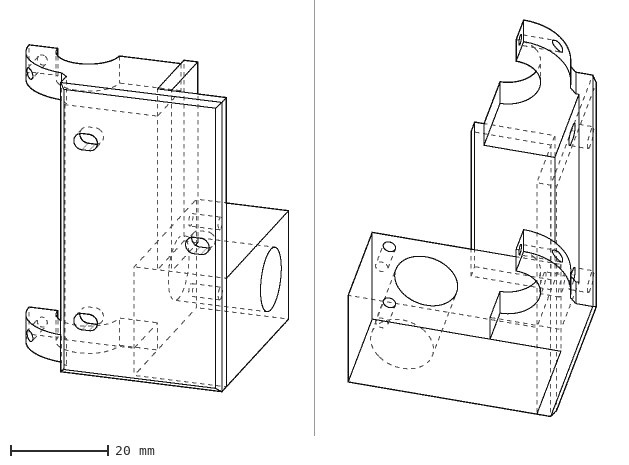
import cadquery as cq
import math

height = 64.0
clearance = 0.65

plate_width = 35.0
plate_thickness = 4.0
plate_chamfer = 1.0

arm_height = 6.0
cradle_y = 19.0
cradle_radius = 13.4 / 2
arm_radius = 12.9
arm_corner = 1.55
screw_diameter = 2.2
screw_x = -10.05

slot_length = 5.1
slot_height = 3.6
slot_left_x = 5.75
slot_right_x = 30.0
slot_rise = 19.9

block_width = 20.0
block_depth_end = 44.0
block_height = 24.0
bore_diameter = 13.4
bore_y = 32.6
bore_z = 13.05
pilot_diameter = 2.6
pilot_depth = 6.4
pilot_y = 40.4
pilot_spacing = 15.5

rib_thickness = 3.0
rib_depth_end = 21.0
rib_x = plate_width - 15.0

block_x = plate_width - block_width


def box(x0, x1, y0, y1, z0, z1):
    """Box between two opposite corners."""
    return cq.Workplane("XY").box(x1 - x0, y1 - y0, z1 - z0, centered=False).translate((x0, y0, z0))


def make_arm(bottom_z, end_x):
    """Half-round cradle arm reaching from its hooked tip to end_x."""
    bevel_x = -arm_corner
    bevel_y = cradle_y - math.sqrt(arm_radius**2 - bevel_x**2)
    arc_mid = arm_radius * math.sqrt(0.5)
    arm = (
        cq.Workplane("XY", origin=(0, 0, bottom_z))
        .moveTo(-arm_radius, cradle_y)
        .threePointArc((-arc_mid, cradle_y - arc_mid), (bevel_x, bevel_y))
        .lineTo(0, bevel_y - arm_corner)
        .lineTo(0, plate_thickness)
        .lineTo(end_x, plate_thickness)
        .lineTo(end_x, cradle_y)
        .lineTo(cradle_radius, cradle_y)
        .threePointArc((0, cradle_y - cradle_radius), (-cradle_radius, cradle_y))
        .close()
        .extrude(arm_height)
    )
    screw_hole = (
        cq.Workplane("XZ", origin=(screw_x, 0, bottom_z + arm_height / 2))
        .circle(screw_diameter / 2)
        .extrude(-(cradle_y + clearance))
    )
    return arm.cut(screw_hole)


def make_bracket():
    """Chamfered plate with three slots and two cradle arms."""
    plate = box(0, plate_width, 0, plate_thickness, 0, height)
    plate = plate.faces("<Y").edges().chamfer(plate_chamfer)
    slot_places = [
        (slot_left_x, height / 2 - slot_rise),
        (slot_left_x, height / 2 + slot_rise),
        (slot_right_x, height / 2),
    ]
    slots = cq.Workplane("XZ").pushPoints(slot_places).slot2D(slot_length, slot_height)
    plate = plate.cut(slots.extrude(-plate_thickness))
    lower_arm = make_arm(0, block_x)
    upper_arm = make_arm(height - arm_height, rib_x)
    return plate.union(lower_arm).union(upper_arm)


def make_block():
    """Block behind the plate with a through bore and two blind pilot holes."""
    block = box(block_x, plate_width, plate_thickness, block_depth_end, 0, block_height)
    left_face = cq.Workplane("YZ", origin=(block_x, 0, 0))
    bore = left_face.center(bore_y, bore_z).circle(bore_diameter / 2).extrude(block_width)
    pilot_places = [(pilot_y, bore_z + side * pilot_spacing / 2) for side in (-1, 1)]
    pilots = left_face.pushPoints(pilot_places).circle(pilot_diameter / 2).extrude(pilot_depth)
    return block.cut(bore).cut(pilots)


def make_rib():
    """Thin upright standing on the block, against the plate and the upper arm."""
    return box(rib_x, rib_x + rib_thickness, plate_thickness, rib_depth_end, block_height, height)


bracket = make_bracket()
block = make_block()
rib = make_rib()

result = cq.Compound.makeCompound([bracket.solids().val(), block.solids().val(), rib.val()])